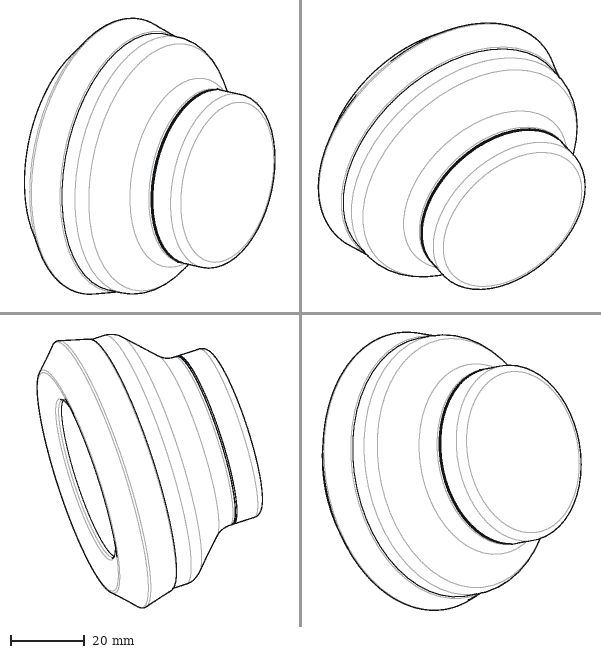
import cadquery as cq
import math

total_length = 45.0

rim_length = 15.2
lip_x = -0.1
lip_radius = 31.45
crest_x = 6.45
crest_radius = 38.1
rim_back_radius = 35.8
dish_end = 2.35
mouth_radius = 22.4
mouth_depth = 3.7
front_round = 0.7
rim_back_round = 0.45

shoulder_radius = 71.0 / 2
shoulder_end = 19.45
shoulder_round = 5.0
neck_radius = 48.0 / 2
neck_round = 6.85
cone_angle = math.radians(45)
neck_start = (
    shoulder_end
    + (shoulder_radius - neck_radius) / math.tan(cone_angle)
    + (shoulder_round + neck_round) * math.tan(cone_angle / 2)
)
groove_radius = 47.6 / 2
groove_start = 36.55
groove_width = 0.45
end_round = 2.0


def arc_point(center_x, center_r, radius, angle):
    """Point (x, radius) on an arc, with the angle measured from the radial direction."""
    return (center_x + radius * math.sin(angle), center_r + radius * math.cos(angle))


def revolve_about_x(profile):
    return profile.close().revolve(360, (0, 0, 0), (1, 0, 0))


def round_circle(body, x, radius, fillet):
    """Round the circular edge of the given radius at position x."""
    margin = 0.04
    reach = radius + margin
    corner = cq.selectors.BoxSelector(
        (x - margin, -reach, -reach), (x + margin, reach, reach), boundingbox=True
    )
    return body.edges(corner).fillet(fillet)


def make_rim():
    """Ring with a dished front, a bevelled outside and an opening through its middle."""
    profile = cq.Workplane("XY").polyline([
        (dish_end, mouth_radius),
        (lip_x, lip_radius),
        (crest_x, crest_radius),
        (rim_length, rim_back_radius),
        (rim_length, mouth_radius),
    ])
    rim = revolve_about_x(profile)
    rim = round_circle(rim, dish_end, mouth_radius, front_round)
    rim = round_circle(rim, lip_x, lip_radius, front_round)
    rim = round_circle(rim, crest_x, crest_radius, front_round)
    outer_back_edge = cq.selectors.RadiusNthSelector(-1)
    return rim.faces(">X").edges(outer_back_edge).fillet(rim_back_round)


def make_housing():
    """Plug that fills the rim, then a shoulder, a cone and a grooved neck."""
    shoulder_center_r = shoulder_radius - shoulder_round
    neck_center_r = neck_radius + neck_round
    cone_start = arc_point(shoulder_end, shoulder_center_r, shoulder_round, cone_angle)
    cone_end = arc_point(neck_start, neck_center_r, -neck_round, cone_angle)
    profile = (
        cq.Workplane("XY")
        .moveTo(mouth_depth, 0)
        .lineTo(mouth_depth, mouth_radius)
        .lineTo(rim_length, mouth_radius)
        .lineTo(rim_length, shoulder_radius)
        .lineTo(shoulder_end, shoulder_radius)
        .threePointArc(
            arc_point(shoulder_end, shoulder_center_r, shoulder_round, cone_angle / 2), cone_start
        )
        .lineTo(*cone_end)
        .threePointArc(
            arc_point(neck_start, neck_center_r, -neck_round, cone_angle / 2), (neck_start, neck_radius)
        )
        .lineTo(groove_start, neck_radius)
        .lineTo(groove_start, groove_radius)
        .lineTo(groove_start + groove_width, groove_radius)
        .lineTo(groove_start + groove_width, neck_radius)
        .lineTo(total_length - end_round, neck_radius)
        .threePointArc(
            arc_point(total_length - end_round, neck_radius - end_round, end_round, math.pi / 4),
            (total_length, neck_radius - end_round),
        )
        .lineTo(total_length, 0)
    )
    return revolve_about_x(profile)


rim = make_rim()
housing = make_housing()
result = cq.Compound.makeCompound([rim.val(), housing.val()])